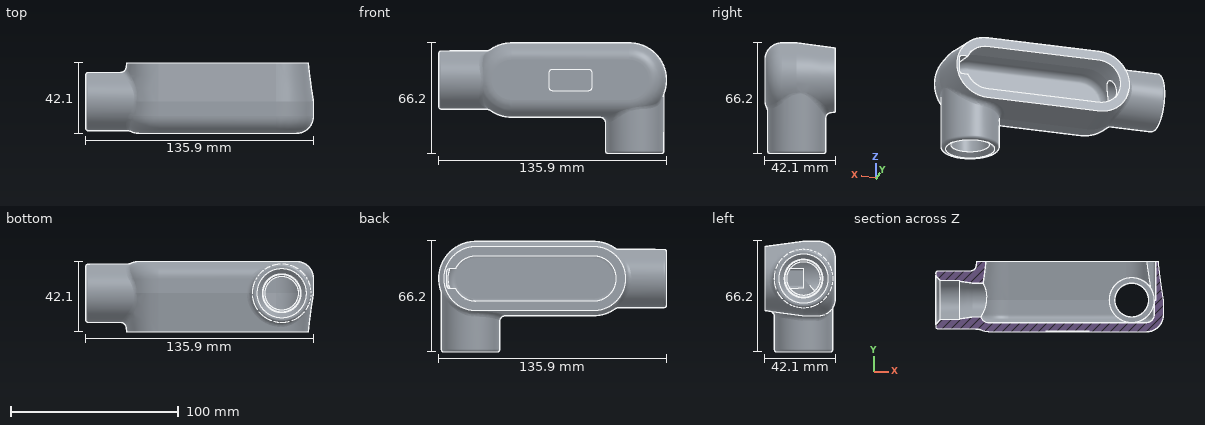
import cadquery as cq
import math


body_radius = 22.3
body_length = 70.0
back_y = -19.0
open_y = 23.1
rim_radius = 19.2
back_round = 10.3
taper_angle = math.degrees(math.atan((body_radius - rim_radius) / open_y))

hub_radius = 34.9 / 2
left_hub_reach = 43.6
down_hub_reach = 43.9
down_hub_offset = 3.3
down_hub_x = body_length + down_hub_offset
hub_edge_round = 1.6
hub_root_round = 3.3

mouth_radius = 14.7
mouth_depth = 2.7
socket_radius = 11.5
socket_depth = 14.1
throat_entry_radius = 11.1
throat_radius = 9.99
throat_depth = 22.3
core_radius = 26.8 / 2

cavity_radius = core_radius + down_hub_offset
wall = body_radius - cavity_radius
cavity_round = back_round - wall

relief_width = 11.7
relief_depth = 0.8
relief_corner_round = 1.6

label_length = 25.5
label_height = 12.8
label_corner_round = 2.0
label_depth = 0.5


def rounded_box(radius, bottom_y, bottom_round):
    """Slot-shaped block along Y: straight up to Y = 0, then tapering to the cover face."""

    def profile(y):
        plane = cq.Plane(origin=(body_length / 2, y, 0), xDir=(1, 0, 0), normal=(0, 1, 0))
        return cq.Workplane(plane).slot2D(body_length + 2 * radius, 2 * radius)

    straight = profile(bottom_y).extrude(-bottom_y).faces("<Y").edges().fillet(bottom_round)
    tapered = profile(0).extrude(open_y, taper=taper_angle)
    return straight.union(tapered)


def hub_plane(hub_x, reach, outward):
    """Plane on a hub face with its normal pointing into the body."""
    direction = cq.Vector(*outward)
    origin = cq.Vector(hub_x, 0, 0) + direction * reach
    return cq.Plane(origin=origin, xDir=(0, 1, 0), normal=-direction)


def hub(plane, reach):
    """Solid hub from its face to the body axis, with the outer rim rounded."""
    face_point = cq.selectors.NearestToPointSelector(plane.origin.toTuple())
    cylinder = cq.Workplane(plane).circle(hub_radius).extrude(reach)
    return cylinder.faces(face_point).edges().fillet(hub_edge_round)


def hub_passage(plane, reach):
    """Flared mouth, socket and narrowing throat, revolved about the hub axis."""
    half_profile = (
        cq.Workplane(plane)
        .transformed(rotate=(90, 0, 0))
        .lineTo(mouth_radius, 0)
        .lineTo(socket_radius, mouth_depth)
        .lineTo(socket_radius, socket_depth)
        .lineTo(throat_entry_radius, socket_depth)
        .lineTo(throat_radius, throat_depth)
        .lineTo(throat_radius, reach)
        .lineTo(0, reach)
        .close()
    )
    return half_profile.revolve(360, (0, 0), (0, 1))


def hub_core(plane, reach):
    """Wide passage from the end of the throat to the body axis."""
    throat_end = cq.Workplane(plane).workplane(offset=throat_depth)
    return throat_end.circle(core_radius).extrude(reach - throat_depth)


def end_relief():
    """Flat groove with rounded corners, from the hub axis level out through the cover face."""
    end_x = body_length + cavity_radius + relief_depth
    return (
        cq.Workplane("XY")
        .box(end_x - body_length, open_y, relief_width, centered=(False, False, True))
        .edges(">X and |Y")
        .fillet(relief_corner_round)
        .translate((body_length, 0, 0))
    )


def label_recess():
    """Shallow rounded rectangle centred on the back face."""
    return (
        cq.Workplane("XY")
        .box(label_length, label_depth, label_height, centered=(True, False, True))
        .edges("|Y")
        .fillet(label_corner_round)
        .translate((body_length / 2, back_y, 0))
    )


left_plane = hub_plane(0, left_hub_reach, (-1, 0, 0))
down_plane = hub_plane(down_hub_x, down_hub_reach, (0, 0, -1))

outside = (
    rounded_box(body_radius, back_y, back_round)
    .union(hub(left_plane, left_hub_reach))
    .union(hub(down_plane, down_hub_reach))
    .edges("%BSPLINE or %ELLIPSE")
    .fillet(hub_root_round)
)

result = (
    outside.cut(rounded_box(cavity_radius, back_y + wall, cavity_round))
    .cut(hub_passage(left_plane, left_hub_reach))
    .cut(hub_passage(down_plane, down_hub_reach))
    .cut(hub_core(down_plane, down_hub_reach))
    .cut(end_relief())
    .cut(label_recess())
)